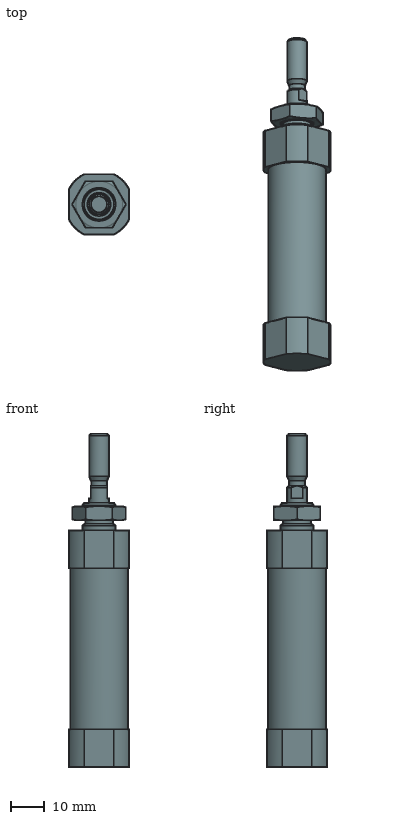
import cadquery as cq
import math

total_height = 99.6
cap_width = 18.0
cap_corner_dia = 20.1
cap_height = 11.3
tube_dia = 17.3
housing_top = 70.7

neck_dia = 10.0
neck_top = 78.9
neck_tip_dia = 9.0
neck_chamfer_height = 0.7
relief_dia = 8.4
relief_bottom = 72.7
relief_top = 73.7
relief_taper = 0.6
bore_mouth_dia = 7.0

rod_dia = 6.0
rod_bottom = housing_top - cap_height
rod_groove_dia = 4.8
shoulder_top = 84.1
thread_bottom = 86.9
shoulder_chamfer = (rod_dia - rod_groove_dia) / 2
rod_tip_dia = 4.8
rod_tip_chamfer = 0.7
groove_taper_height = 1.4
flats_width = 5.0
flats_bottom = 80.3

nut_width = 13.9
nut_bottom = 73.7
nut_height = 4.2
nut_corner_dia = nut_width / math.cos(math.pi / 6)
nut_chamfer_angle = math.radians(15)


def cylinder(diameter, bottom, top):
    return cq.Workplane("XY").workplane(offset=bottom).circle(diameter / 2).extrude(top - bottom)


def turned(profile):
    """Revolve a closed (radius, height) outline about the Z axis."""
    return cq.Workplane("XZ").polyline(profile).close().revolve(360, (0, 0), (0, 1))


def make_cap(bottom):
    square = cq.Workplane("XY").box(cap_width, cap_width, cap_height, centered=(True, True, False))
    return square.translate((0, 0, bottom)).intersect(cylinder(cap_corner_dia, bottom, bottom + cap_height))


def make_neck():
    outer = neck_dia / 2
    relief = relief_dia / 2
    return turned([
        (0, housing_top),
        (outer, housing_top),
        (outer, relief_bottom - relief_taper),
        (relief, relief_bottom),
        (relief, relief_top),
        (outer, relief_top + relief_taper),
        (outer, neck_top - neck_chamfer_height),
        (neck_tip_dia / 2, neck_top),
        (0, neck_top),
    ])


def make_housing():
    front_cap_bottom = housing_top - cap_height
    tube = cylinder(tube_dia, cap_height, front_cap_bottom)
    body = make_cap(0).union(tube).union(make_cap(front_cap_bottom)).union(make_neck())
    mouth_depth = (bore_mouth_dia - rod_dia) / 2
    bore = turned([
        (0, rod_bottom),
        (rod_dia / 2, rod_bottom),
        (rod_dia / 2, neck_top - mouth_depth),
        (bore_mouth_dia / 2, neck_top),
        (0, neck_top),
    ])
    return body.cut(bore)


def make_rod():
    outer = rod_dia / 2
    groove = rod_groove_dia / 2
    rod = turned([
        (0, rod_bottom),
        (outer, rod_bottom),
        (outer, shoulder_top - shoulder_chamfer),
        (groove, shoulder_top),
        (groove, thread_bottom - groove_taper_height),
        (outer, thread_bottom),
        (outer, total_height - rod_tip_chamfer),
        (rod_tip_dia / 2, total_height),
        (0, total_height),
    ])
    flat_depth = (rod_dia - flats_width) / 2
    flat_height = shoulder_top - flats_bottom
    for side in (-1, 1):
        cutter = cq.Workplane("XY").box(flat_depth, rod_dia, flat_height, centered=(True, True, False))
        rod = rod.cut(cutter.translate((side * (flats_width + flat_depth) / 2, 0, flats_bottom)))
    return rod


def make_nut():
    nut_top = nut_bottom + nut_height
    corner = nut_corner_dia / 2
    face = nut_width / 2
    chamfer_height = (corner - face) * math.tan(nut_chamfer_angle)
    hexagon = cq.Workplane("XY").workplane(offset=nut_bottom).polygon(6, nut_corner_dia).extrude(nut_height)
    chamfered_disc = turned([
        (0, nut_bottom),
        (face, nut_bottom),
        (corner, nut_bottom + chamfer_height),
        (corner, nut_top - chamfer_height),
        (face, nut_top),
        (0, nut_top),
    ])
    return hexagon.intersect(chamfered_disc).cut(cylinder(neck_dia, nut_bottom, nut_top))


housing = make_housing()
rod = make_rod()
nut = make_nut()

result = cq.Compound.makeCompound([housing.val(), rod.val(), nut.val()])